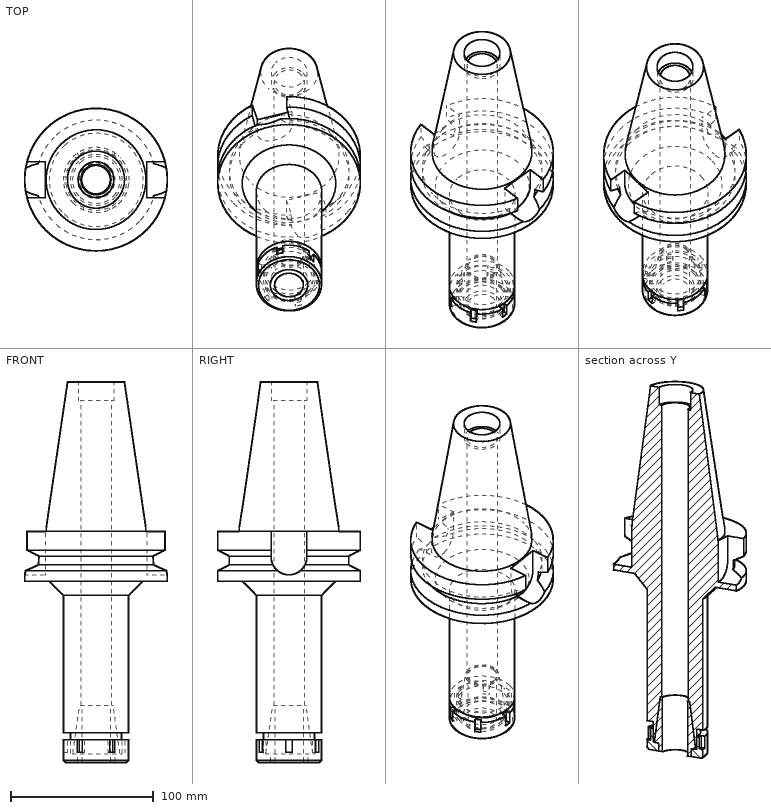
import cadquery as cq
import math


total_height = 266.8
gauge_line_height = 165.0
flange_top = 162.0
groove_upper_edge = 149.0
groove_floor_top = 144.5
groove_floor_bottom = 138.5
groove_lower_edge = 134.5
flange_bottom = 127.0
shank_top = 117.0
shank_bottom = 20.8
nose_bottom = 6.1

flange_diameter = 100.0
groove_diameter = 84.0
taper_large_diameter = 70.0
taper_small_diameter = 40.0
shank_diameter = 46.0
nose_diameter = 36.0
cone_top_diameter = shank_diameter + 2 * (flange_bottom - shank_top)

stud_bore_diameter = 25.0
stud_bore_depth = 12.8
through_bore_diameter = 21.0

keyway_width = 25.0
keyway_bottom = 131.5
keyway_floor_offset = 35.5

nut_diameter = shank_diameter
nut_height = 16.0
nut_chamfer = 1.5
wrench_slot_count = 6
wrench_slot_width = 4.3
wrench_slot_bottom = 7.2
wrench_slot_floor_offset = 20.0

collet_bore_diameter = 20.0
collet_mouth_diameter = 26.1
collet_taper_diameter = 33.0
collet_half_angle = 8.0
collet_top = 40.0
collet_top_diameter = collet_taper_diameter - 2 * (collet_top - nose_bottom) * math.tan(
    math.radians(collet_half_angle)
)


def revolve_steps(steps):
    """Turn a solid about Z from (diameter, height) corners listed from bottom to top."""
    bottom = steps[0][1]
    top = steps[-1][1]
    outline = [(diameter / 2, height) for diameter, height in steps]
    return (
        cq.Workplane("XZ")
        .polyline([(0, bottom), *outline, (0, top)])
        .close()
        .revolve(360, (0, 0, 0), (0, 1, 0))
    )


def cylinder(diameter, bottom, top):
    """Upright cylinder on the Z axis."""
    return cq.Workplane("XY").workplane(offset=bottom).circle(diameter / 2).extrude(top - bottom)


def make_collet_envelope():
    """Collet without its bore; it also shapes the seats in the holder and the nut."""
    return revolve_steps([
        (collet_mouth_diameter, 0),
        (collet_mouth_diameter, nose_bottom),
        (collet_taper_diameter, nose_bottom),
        (collet_top_diameter, collet_top),
    ])


def make_keyway():
    """Round-ended keyway cutter on the +X side, open at the flange top and rim."""
    arc_center_height = keyway_bottom + keyway_width / 2
    return (
        cq.Workplane("YZ")
        .workplane(offset=keyway_floor_offset)
        .moveTo(-keyway_width / 2, flange_top)
        .lineTo(-keyway_width / 2, arc_center_height)
        .threePointArc((0, keyway_bottom), (keyway_width / 2, arc_center_height))
        .lineTo(keyway_width / 2, flange_top)
        .close()
        .extrude(flange_diameter / 2 - keyway_floor_offset)
    )


def make_holder():
    """Taper, grooved flange, shank and nose, with the bore and the collet seat."""
    holder = revolve_steps([
        (nose_diameter, nose_bottom),
        (nose_diameter, shank_bottom),
        (shank_diameter, shank_bottom),
        (shank_diameter, shank_top),
        (cone_top_diameter, flange_bottom),
        (flange_diameter, flange_bottom),
        (flange_diameter, groove_lower_edge),
        (groove_diameter, groove_floor_bottom),
        (groove_diameter, groove_floor_top),
        (flange_diameter, groove_upper_edge),
        (flange_diameter, flange_top),
        (taper_large_diameter, flange_top),
        (taper_large_diameter, gauge_line_height),
        (taper_small_diameter, total_height),
    ])
    for angle in (0, 180):
        holder = holder.cut(make_keyway().rotate((0, 0, 0), (0, 0, 1), angle))
    holder = holder.cut(cylinder(through_bore_diameter, nose_bottom, total_height))
    holder = holder.cut(cylinder(stud_bore_diameter, total_height - stud_bore_depth, total_height))
    return holder.cut(make_collet_envelope())


def make_nut():
    """Clamping nut: fits round the holder nose, with wrench slots open at its top."""
    nut = cylinder(nut_diameter, 0, nut_height).faces("<Z").chamfer(nut_chamfer)
    nut = nut.cut(cylinder(nose_diameter, nose_bottom, nut_height))
    nut = nut.cut(cylinder(collet_mouth_diameter, 0, nose_bottom))
    slot = cq.Workplane("XY").box(
        nut_diameter / 2,
        wrench_slot_width,
        nut_height - wrench_slot_bottom,
        centered=(False, True, False),
    ).translate((wrench_slot_floor_offset, 0, wrench_slot_bottom))
    for index in range(wrench_slot_count):
        nut = nut.cut(slot.rotate((0, 0, 0), (0, 0, 1), index * 360 / wrench_slot_count))
    return nut


def make_collet():
    """Tapered collet with a straight bore, flush with the nut face."""
    return make_collet_envelope().cut(cylinder(collet_bore_diameter, 0, collet_top))


holder = make_holder()
nut = make_nut()
collet = make_collet()

result = cq.Compound.makeCompound([holder.val(), nut.val(), collet.val()])